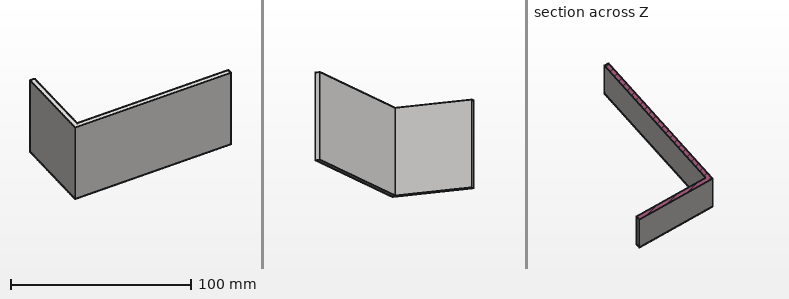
import cadquery as cq

long_leg = 100.0
short_leg = 50.0
height = 50.0
thickness = 3.0

inner_x = short_leg - thickness
profile = [
    (0, 0),
    (short_leg, 0),
    (short_leg, long_leg),
    (inner_x, long_leg),
    (inner_x, thickness),
    (0, thickness),
]

result = cq.Workplane("XY").polyline(profile).close().extrude(height)